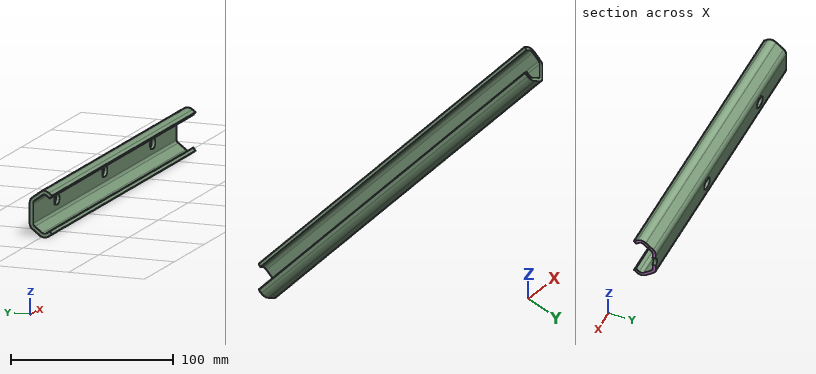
import cadquery as cq
import math

length = 240.0
depth = 15.0
height = 29.5

thickness = 2.5
inner_radius = 2.5
outer_radius = inner_radius + thickness
crown_from_back = 9.8
slope_angle = 37.0

slot_count = 3
slot_length = 8.6
slot_width = 6.5
slot_pitch = length / slot_count

back_y = depth / 2
front_y = -depth / 2

crown_y = back_y - crown_from_back
crown_z = height / 2 - outer_radius
corner_y = back_y - outer_radius
slope = math.radians(slope_angle)
corner_z = crown_z - (corner_y - crown_y) * math.tan(slope)

lip_normal = 90 + slope_angle
flank_normal = 90 - slope_angle


def polar(y, z, radius, angle):
    """Point at a radius and angle (degrees from +Y toward +Z) about (y, z)."""
    a = math.radians(angle)
    return (y + radius * math.cos(a), z + radius * math.sin(a))


def bend(y, z, radius, start, end):
    """Start, middle and end points of an arc about (y, z)."""
    return [polar(y, z, radius, a) for a in (start, (start + end) / 2, end)]


def upper_skin(radius, lip_length):
    """Points of one skin from the lip tip to the web: tip, crown arc, corner arc."""
    crown = bend(crown_y, crown_z, radius, lip_normal, flank_normal)
    corner = bend(corner_y, corner_z, radius, flank_normal, 0)
    tip = (crown[0][0] - lip_length * math.cos(slope), crown[0][1] - lip_length * math.sin(slope))
    return [tip] + crown + corner


def mirrored(points):
    """The points reflected in Z and taken in the opposite order."""
    return [(y, -z) for y, z in reversed(points)]


def trace_skin(section, points):
    """Draw one whole skin: line, bend, line, bend, web, then the same mirrored."""
    section = section.lineTo(*points[1]).threePointArc(*points[2:4])
    section = section.lineTo(*points[4]).threePointArc(*points[5:7])
    lower = mirrored(points)
    section = section.lineTo(*lower[0]).threePointArc(*lower[1:3])
    section = section.lineTo(*lower[3]).threePointArc(*lower[4:6])
    return section.lineTo(*lower[6])


def make_rail():
    lip_reach = crown_y - outer_radius * math.sin(slope) - front_y
    lip_length = lip_reach / math.cos(slope)
    outer = upper_skin(outer_radius, lip_length)
    inner = [(y, -z) for y, z in upper_skin(inner_radius, lip_length)]

    section = cq.Workplane("YZ", origin=(-length / 2, 0, 0)).moveTo(*outer[0])
    section = trace_skin(section, outer)
    section = trace_skin(section.lineTo(*inner[0]), inner)
    return section.close().extrude(length)


def make_slots():
    centres = [((i - (slot_count - 1) / 2) * slot_pitch, 0) for i in range(slot_count)]
    slots = cq.Workplane("XZ").pushPoints(centres).slot2D(slot_length, slot_width)
    return slots.extrude(depth, both=True)


result = make_rail().cut(make_slots())